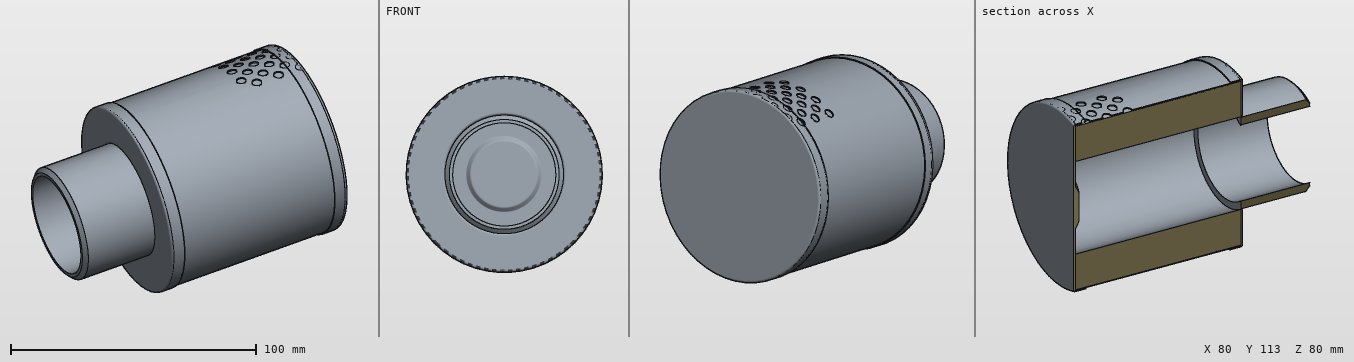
import cadquery as cq
length = 113.0
front_y = -length / 2
rear_y = length / 2

cap_radius = 40.0
cap_depth = 6.0
cap_plate = 1.1
cap_fillet = 1.0

boss_base_radius = 15.4
boss_height = 1.7
boss_base_fillet = 0.5
boss_top_fillet = 1.0

tube_radius = 24.2
tube_bore_radius = 21.0
tube_overhang = 32.0
tube_chamfer = 1.8

sleeve_radius = 39.5
sleeve_thickness = 0.51
element_radius = sleeve_radius - sleeve_thickness
element_bore_radius = tube_radius

hole_diameter = 4.0
first_row_inset = 1.0
row_pitch = 5.0
row_count = 6
holes_per_row = 4
hole_angle_pitch = 12.0

cap_front_y = front_y + tube_overhang
inner_front_y = cap_front_y + cap_plate
inner_rear_y = rear_y - cap_plate


def cylinder(radius, start_y, end_y):
    """Solid cylinder about the Y axis."""
    plane = cq.Plane(origin=(0, start_y, 0), xDir=(0, 0, 1), normal=(0, 1, 0))
    return cq.Workplane(plane).circle(radius).extrude(end_y - start_y)


def ring(radius, bore_radius, start_y, end_y):
    """Hollow cylinder about the Y axis."""
    return cylinder(radius, start_y, end_y).cut(cylinder(bore_radius, start_y, end_y))


def make_rear_floor():
    """Floor disc of the rear cap with its boss, a blunt cone standing towards -Y."""
    floor = cylinder(cap_radius - cap_fillet, inner_rear_y, rear_y)
    cone = cylinder(boss_base_radius, inner_rear_y - boss_height, rear_y)
    floor = floor.union(cone.faces("<Y").edges().chamfer(boss_height))
    cone_base = cq.selectors.RadiusNthSelector(1)
    floor = floor.edges("%CIRCLE").edges(cone_base).fillet(boss_base_fillet)
    return floor.faces("<Y").edges().fillet(boss_top_fillet)


def make_rear_cap():
    """Closed cup with a rounded rim and a boss blended into its floor."""
    skirt_y = rear_y - cap_depth
    cup = cylinder(cap_radius, skirt_y, rear_y).faces(">Y").edges().fillet(cap_fillet)
    return cup.cut(cylinder(sleeve_radius, skirt_y, inner_rear_y)).union(make_rear_floor())


def make_front_cap():
    """Cup with a rounded rim and a rounded hole for the connection tube."""
    skirt_y = cap_front_y + cap_depth
    cap = cylinder(cap_radius, cap_front_y, skirt_y)
    cap = cap.cut(cylinder(tube_radius, cap_front_y, skirt_y))
    cap = cap.faces("<Y").edges().fillet(cap_fillet)
    return cap.cut(cylinder(sleeve_radius, inner_front_y, skirt_y))


def make_tube():
    """Connection tube, chamfered outside at its free end."""
    tube = cylinder(tube_radius, front_y, inner_front_y).faces("<Y").edges().chamfer(tube_chamfer)
    return tube.cut(cylinder(tube_bore_radius, front_y, inner_front_y))


def make_element():
    """Filter element filling the sleeve between the two caps."""
    return ring(element_radius, element_bore_radius, inner_front_y, inner_rear_y)


def make_drill(angle, hole_y):
    """Radial drill, turned from +Z towards -X by the angle in degrees."""
    drill = cq.Workplane("XY").circle(hole_diameter / 2).extrude(cap_radius)
    return drill.rotate((0, 0, 0), (0, 1, 0), -angle).translate((0, hole_y, 0))


def make_sleeve():
    """Thin sleeve with a patch of staggered round holes at its rear end."""
    sleeve = ring(sleeve_radius, element_radius, inner_front_y, inner_rear_y)
    for row in range(row_count):
        hole_y = rear_y - first_row_inset - row * row_pitch
        stagger = hole_angle_pitch / 2 * (row % 2)
        for column in range(holes_per_row):
            sleeve = sleeve.cut(make_drill(column * hole_angle_pitch + stagger, hole_y))
    return sleeve


rear_cap = make_rear_cap()
front_cap = make_front_cap()
tube = make_tube()
sleeve = make_sleeve()
element = make_element()

result = cq.Compound.makeCompound(
    [rear_cap.val(), front_cap.val(), tube.val(), sleeve.val(), element.val()]
)